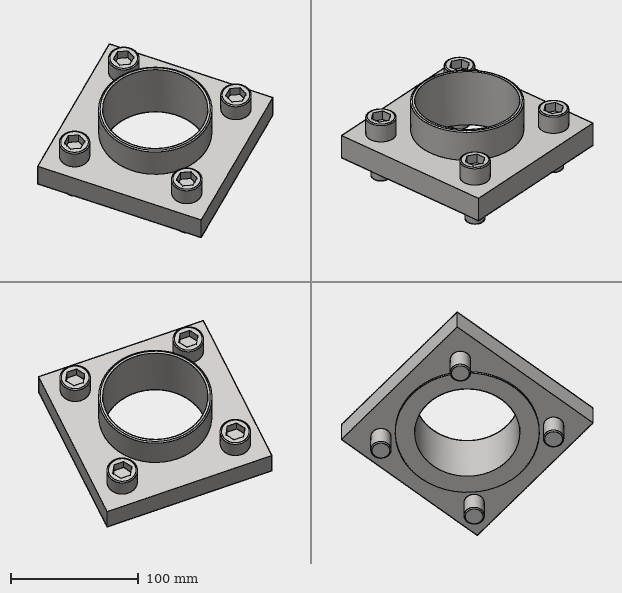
import cadquery as cq
import math

plate_side = 140.0
plate_thickness = 21.0

collar_diameter = 88.9
bore_diameter = 82.5
collar_height = 27.0
collar_chamfer_width = 1.3
collar_chamfer_height = 0.7

face_diameter = 113.0
face_height = 2.0

screw_spacing = 96.0
shank_diameter = 16.0
shank_length = 40.0
shank_chamfer = 1.0
head_diameter = 24.0
head_height = shank_diameter
head_chamfer_width = 1.1
head_chamfer_height = 0.7
socket_across_flats = 14.0
socket_depth = 8.0

collar_top = plate_thickness + collar_height


def cylinder(diameter, bottom, height):
    """Upright cylinder on the Z axis."""
    return cq.Workplane("XY").workplane(offset=bottom).circle(diameter / 2).extrude(height)


def chamfer_top(body, chamfer_height, chamfer_width):
    """Cut a chamfer on the outer top edge of a cylinder, using a cone-topped envelope."""
    box = body.val().BoundingBox()
    radius = box.xmax
    envelope = (
        cq.Workplane("XZ")
        .moveTo(0, box.zmin)
        .lineTo(radius, box.zmin)
        .lineTo(radius, box.zmax - chamfer_height)
        .lineTo(radius - chamfer_width, box.zmax)
        .lineTo(0, box.zmax)
        .close()
        .revolve(360, (0, 0, 0), (0, 1, 0))
    )
    return body.intersect(envelope)


def make_flange():
    plate = cq.Workplane("XY").box(plate_side, plate_side, plate_thickness, centered=(True, True, False))
    collar = chamfer_top(
        cylinder(collar_diameter, plate_thickness, collar_height),
        collar_chamfer_height,
        collar_chamfer_width,
    )
    sealing_face = cylinder(face_diameter, -face_height, face_height)
    bore = cylinder(bore_diameter, -face_height, collar_top + face_height)
    return plate.union(collar).union(sealing_face).cut(bore)


def make_screw():
    """Screw on the Z axis, with its head resting on the plate."""
    shank = cylinder(shank_diameter, plate_thickness - shank_length, shank_length)
    shank = shank.faces("<Z").chamfer(shank_chamfer)
    head = chamfer_top(
        cylinder(head_diameter, plate_thickness, head_height),
        head_chamfer_height,
        head_chamfer_width,
    )
    socket_across_corners = socket_across_flats / math.cos(math.radians(30))
    socket = (
        cq.Workplane("XY")
        .workplane(offset=plate_thickness + head_height - socket_depth)
        .polygon(6, socket_across_corners)
        .extrude(socket_depth)
        .rotate((0, 0, 0), (0, 0, 1), 30)
    )
    return shank.union(head).cut(socket)


result = make_flange()
screw = make_screw()
for x_side in (-1, 1):
    for y_side in (-1, 1):
        place = (x_side * screw_spacing / 2, y_side * screw_spacing / 2, 0)
        result = result.union(screw.translate(place))